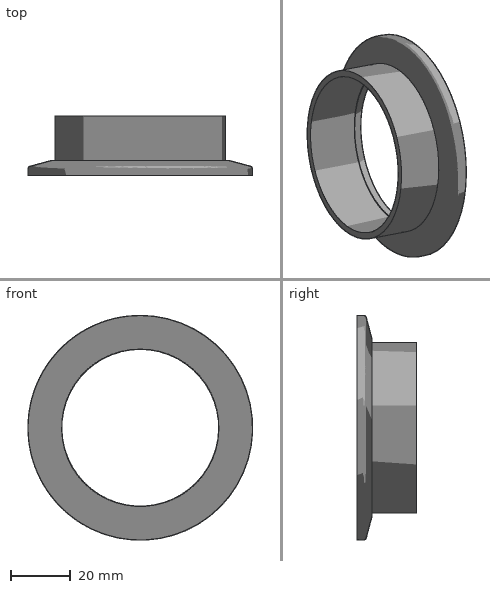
import cadquery as cq
import math

flange_radius = 75.0 / 2
total_length = 20.0

tube_radius = 57.0 / 2
tube_wall = 2.1
bore_radius = tube_radius - tube_wall

mouth_radius = 52.3 / 2
mouth_depth = 2.5

flange_thickness = 5.1
shoulder_radius = 29.65
cone_angle = 15.0
rim_fillet_radius = 1.0

cone_drop = (flange_radius - shoulder_radius) * math.tan(math.radians(cone_angle))
rim_height = flange_thickness - cone_drop


def make_flange_and_tube():
    """Flange, tube and stepped bore as one turned section; points are (Y, Z)."""
    section = (
        cq.Workplane("YZ")
        .moveTo(0, mouth_radius)
        .lineTo(0, flange_radius)
        .lineTo(rim_height, flange_radius)
        .lineTo(flange_thickness, shoulder_radius)
        .lineTo(flange_thickness, tube_radius)
        .lineTo(total_length, tube_radius)
        .lineTo(total_length, bore_radius)
        .lineTo(mouth_depth, bore_radius)
        .lineTo(mouth_depth, mouth_radius)
        .close()
    )
    return section.revolve(360, (0, 0, 0), (1, 0, 0))


def round_rim(body):
    """Round the corner between the rim and the clamping cone."""
    corner_point = (0, rim_height, flange_radius)
    rim_corner = cq.selectors.NearestToPointSelector(corner_point)
    circles_at_corner = body.edges("%CIRCLE").edges(rim_corner)
    return circles_at_corner.fillet(rim_fillet_radius)


result = round_rim(make_flange_and_tube())